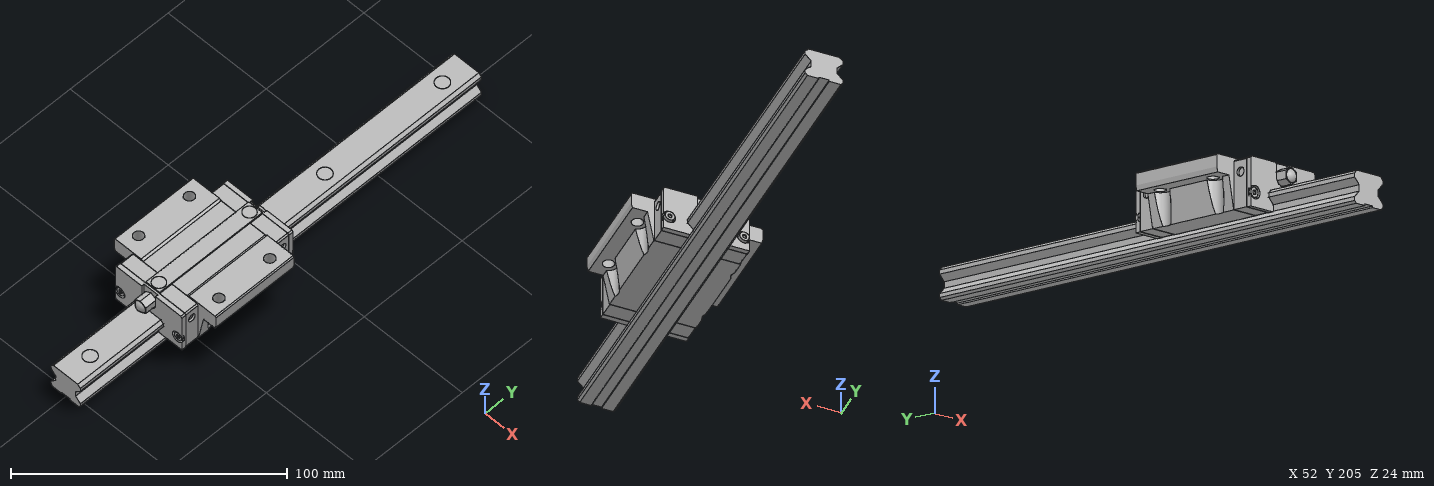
import cadquery as cq
import math

rail_length = 205.0
rail_half_width = 7.5
rail_height = 12.5
rail_top_chamfer = 1.3
rail_bottom_chamfer = 0.9
waist_half_width = 5.1
waist_bottom = 4.8
waist_top = 7.2
waist_flare = rail_half_width - waist_half_width
relief_half_width = 2.0
relief_depth = 0.6
bolt_pitch = 60.0
bolt_count = 4
bolt_cap_diameter = 6.0
bolt_cap_recess = 0.15

carriage_y = -31.7
carriage_bottom = 4.5
carriage_top = 24.0
block_length = 40.0
cap_length = 6.3
seal_length = 2.1
cap_end = block_length / 2 + cap_length
seal_end = cap_end + seal_length

flange_half_width = 26.0
flange_bottom = 17.1
flange_top_chamfer = 0.5
flange_taper_height = 1.8
flange_taper_width = 0.5
body_half_width_top = 19.6
body_half_width_bottom = 17.1
mount_spacing_x = 41.0
mount_spacing_y = 26.0
mount_hole_diameter = 4.5
mount_relief_radius = 3.9

groove_depth = 0.6
groove_outer = 12.2
groove_bevel = 1.0
strip_half_width = 3.5

seal_half_width = 17.0
seal_top = carriage_top - groove_depth
end_chamfer = 0.6
cap_inset = 0.15
cap_half_width = seal_half_width - cap_inset
top_port_diameter = 5.6
top_port_depth = 0.15
port_y = block_length / 2 + cap_length / 2
port_z = 18.3
side_port_diameter = 3.4
side_port_depth = 1.0

slot_depth = 1.2
slot_floor = seal_end - slot_depth
nipple_corner_diameter = 6.4
nipple_hex_end = 32.6
nipple_dome_radius = 2.6
nipple_dome_height = 1.5
plug_base_radius = 3.2
plug_tip_radius = 2.5
plug_length = slot_depth + 1.4
screw_x = 14.7
screw_z = 10.1
screw_recess_radius = 2.5
screw_recess_depth = 1.2
screw_head_radius = 1.9
screw_socket_radius = 0.8
screw_socket_depth = 0.5
near_head_height = 0.9
far_head_height = 1.9


def box(x_half, y_start, y_end, z_bottom, z_top):
    """Box centred on X, with its Y and Z limits given."""
    return cq.Workplane("XY").box(
        2 * x_half, y_end - y_start, z_top - z_bottom, centered=(True, False, False)
    ).translate((0, y_start, z_bottom))


def rod_y(radius, x, z, y_start, y_end):
    """Round rod parallel to Y."""
    axis = cq.Vector(0, 1, 0)
    rod = cq.Solid.makeCylinder(radius, y_end - y_start, cq.Vector(x, y_start, z), axis)
    return cq.Workplane(obj=rod)


def mirrored_extrusion(half_outline, length):
    """Extrude a right-half XZ outline and its mirror image, centred along Y."""
    left_half = [(-x, z) for x, z in reversed(half_outline)]
    return cq.Workplane("XZ").polyline(half_outline + left_half).close().extrude(length / 2, both=True)


def rail_blank(length):
    """Plain rail section, also used to cut the carriage's running channel."""
    return mirrored_extrusion(
        [
            (rail_half_width - rail_bottom_chamfer, 0),
            (rail_half_width, rail_bottom_chamfer),
            (rail_half_width, waist_bottom - waist_flare),
            (waist_half_width, waist_bottom),
            (waist_half_width, waist_top),
            (rail_half_width, waist_top + waist_flare),
            (rail_half_width, rail_height - rail_top_chamfer),
            (rail_half_width - rail_top_chamfer, rail_height),
        ],
        length,
    )


def make_rail():
    relief = box(relief_half_width, -rail_length / 2, rail_length / 2, 0, relief_depth)
    bolt_caps = (
        cq.Workplane("XY", origin=(0, 0, rail_height - bolt_cap_recess))
        .rarray(1, bolt_pitch, 1, bolt_count)
        .circle(bolt_cap_diameter / 2)
        .extrude(bolt_cap_recess)
    )
    return rail_blank(rail_length).cut(relief).cut(bolt_caps)


def make_block():
    block = mirrored_extrusion(
        [
            (body_half_width_bottom, carriage_bottom),
            (body_half_width_top, flange_bottom),
            (flange_half_width - flange_taper_width, flange_bottom),
            (flange_half_width, flange_bottom + flange_taper_height),
            (flange_half_width, carriage_top - flange_top_chamfer),
            (flange_half_width - flange_top_chamfer, carriage_top),
            (groove_outer, carriage_top),
            (groove_outer - groove_bevel, carriage_top - groove_depth),
            (strip_half_width, carriage_top - groove_depth),
            (strip_half_width, carriage_top),
        ],
        block_length,
    )
    mounts = cq.Workplane("XY").rarray(mount_spacing_x, mount_spacing_y, 2, 2)
    holes = mounts.circle(mount_hole_diameter / 2).extrude(carriage_top)
    reliefs = mounts.circle(mount_relief_radius).extrude(flange_bottom)
    return block.cut(holes).cut(reliefs)


def make_end(direction):
    """End cap with its seal, at the +Y (direction 1) or -Y (direction -1) end."""
    cap = box(cap_half_width, block_length / 2, cap_end, carriage_bottom + cap_inset, seal_top - cap_inset)
    seal = box(seal_half_width, cap_end, seal_end, carriage_bottom, seal_top)
    end = cap.edges("|Y and >Z").chamfer(end_chamfer).union(seal.edges("|Y and >Z").chamfer(end_chamfer))
    end = end.union(box(strip_half_width, block_length / 2, cap_end, port_z, carriage_top))

    top_port = (
        cq.Workplane("XY", origin=(0, port_y, carriage_top - top_port_depth))
        .circle(top_port_diameter / 2)
        .extrude(top_port_depth)
    )
    side_ports = (
        cq.Workplane("YZ", origin=(cap_half_width - side_port_depth, port_y, port_z))
        .circle(side_port_diameter / 2)
        .extrude(side_port_depth)
    )
    side_ports = side_ports.union(side_ports.mirror("YZ"))
    fitting_slot = box(strip_half_width, slot_floor, seal_end, port_z, carriage_top).union(
        rod_y(strip_half_width, 0, port_z, slot_floor, seal_end)
    )
    end = end.cut(top_port).cut(side_ports).cut(fitting_slot)

    recess_floor = seal_end - screw_recess_depth
    head_height = far_head_height if direction > 0 else near_head_height
    head_end = recess_floor + head_height
    for x in (-screw_x, screw_x):
        head = rod_y(screw_head_radius, x, screw_z, recess_floor, head_end)
        socket = rod_y(screw_socket_radius, x, screw_z, head_end - screw_socket_depth, head_end)
        end = end.cut(rod_y(screw_recess_radius, x, screw_z, recess_floor, seal_end))
        end = end.union(head.cut(socket))
    return end if direction > 0 else end.mirror("XZ")


def dome(base_radius, height):
    """Spherical cap rising along +Y from a round base on the XZ plane."""
    sphere_radius = (base_radius**2 + height**2) / (2 * height)
    half_angle = math.asin(base_radius / sphere_radius) / 2
    arc_middle = (
        sphere_radius * math.sin(half_angle),
        height - sphere_radius * (1 - math.cos(half_angle)),
    )
    return (
        cq.Workplane("XY")
        .lineTo(base_radius, 0)
        .threePointArc(arc_middle, (0, height))
        .close()
        .revolve(360, (0, 0, 0), (0, 1, 0))
    )


def make_nipple():
    """Hexagonal grease nipple with a domed tip, pointing to -Y."""
    hexagon = (
        cq.Workplane("XZ", origin=(0, -slot_floor, port_z))
        .transformed(rotate=(0, 0, 90))
        .polygon(6, nipple_corner_diameter)
        .extrude(nipple_hex_end - slot_floor)
    )
    tip = dome(nipple_dome_radius, nipple_dome_height).mirror("XZ")
    return hexagon.union(tip.translate((0, -nipple_hex_end, port_z)))


def make_plug():
    """Tapered plug closing the grease port at the +Y end."""
    base = cq.Vector(0, slot_floor, port_z)
    axis = cq.Vector(0, 1, 0)
    return cq.Workplane(obj=cq.Solid.makeCone(plug_base_radius, plug_tip_radius, plug_length, base, axis))


def make_carriage():
    carriage = make_block().union(make_end(1)).union(make_end(-1))
    carriage = carriage.union(make_nipple()).union(make_plug())
    return carriage.cut(rail_blank(rail_length)).translate((0, carriage_y, 0))


rail = make_rail()
carriage = make_carriage()
result = cq.Compound.makeCompound([rail.val(), carriage.val()])